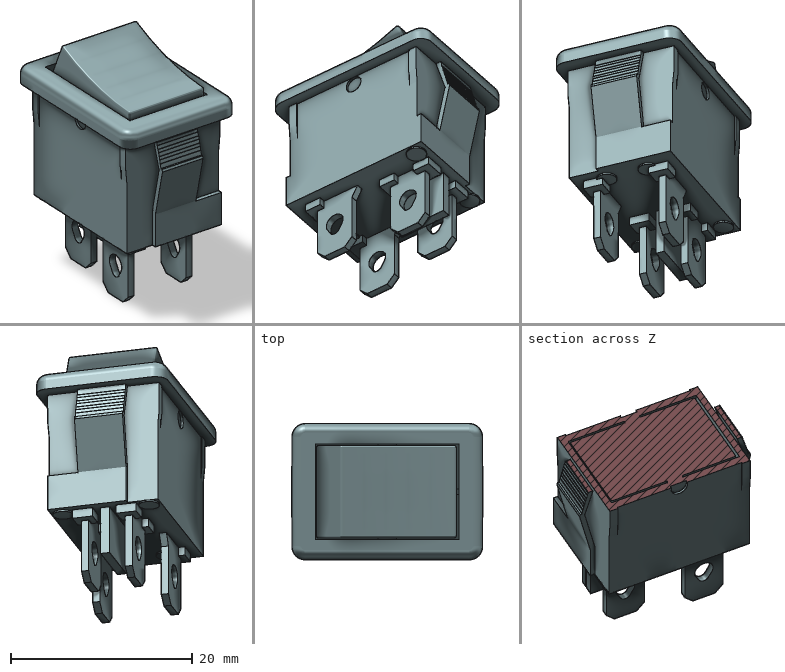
import cadquery as cq
import math


bezel_length = 21.08
bezel_width = 15.1
bezel_height = 2.08
bezel_corner_radius = 1.5
bezel_edge_radius = 1.05

body_length = 17.42
body_width = 12.57
body_depth = 13.9
body_half_length = body_length / 2
body_half_width = body_width / 2

pad_length = 1.03
pad_thickness = 0.17
pad_full_depth = 3.15
pad_total_depth = 4.97

well_length = 15.8
well_width = 10.57
well_depth = 2.5

rocker_width = 10.24
rocker_edge_radius = 0.25
rocker_bottom_z = -2.22
rocker_apex = (-5.1, 5.9)
rocker_left_middle = (-6.38, 3.05)
rocker_left_foot = (-7.82, -0.28)
rocker_right_x = 7.63
rocker_right_top_z = 2.9
rocker_top_middle = (1.28, 3.7)

pivot_diameter = 2.0
pivot_z = -pivot_diameter / 2
pivot_recess = 0.28

stop_width = 0.65
stop_height = 1.0

clip_width = 5.55
clip_root_x = 9.38
clip_knee_x = 10.45
clip_tip_x = 10.6
clip_tip_z = -4.0
clip_lip_x = 10.5
clip_lip_height = 0.3
clip_inner_knee_x = 9.95
clip_inner_foot_z = -9.57
clip_foot_x = 9.27
clip_foot_z = -9.88
step_pair_count = 4
long_step_height = 0.45
short_step_height = 0.35
step_face_slope = 0.12
first_step_z = -0.28

blade_thickness = 0.83
blade_width = 4.75
blade_bottom_z = -21.91
blade_chamfer = 1.0
left_blade_x = -5.0
right_blade_x = 4.0
left_blade_y = 2.52
right_blade_y = 3.97
flare_width = 0.78
flare_bottom_z = -15.23
blade_hole_radius = 1.15
blade_hole_tip_radius = 0.67
blade_hole_z = -17.75
blade_hole_bottom_z = -19.33

bar_left_x = -8.07
bar_right_x = -1.66
bar_thickness = 1.03
bar_bottom_z = -19.35

block_width = 2.33
block_height = 1.0
foot_radius = 1.15
foot_height = 0.2
foot_centers = [(-7.65, 4.97), (6.95, left_blade_y)]
support_blocks = [
    (-8.38, -6.27, left_blade_y),
    (-3.65, bar_right_x, left_blade_y),
    (5.45, 7.45, right_blade_y),
]


def box(x_min, x_max, y_min, y_max, z_min, z_max):
    """Box between two limits on each axis."""
    return (
        cq.Workplane("XY")
        .box(x_max - x_min, y_max - y_min, z_max - z_min, centered=False)
        .translate((x_min, y_min, z_min))
    )


def extrude_along_y(sketch, y_min, y_max):
    """Extrude a closed XZ outline, drawn on the XZ plane, from y_min to y_max."""
    return sketch.extrude(y_min - y_max).translate((0, y_min, 0))


def on_both_sides(solid):
    """The solid together with its mirror image across the XZ plane."""
    return solid.union(solid.mirror("XZ"))


def on_both_ends(solid):
    """The solid together with its mirror image across the YZ plane."""
    return solid.union(solid.mirror("YZ"))


def make_bezel():
    return (
        cq.Workplane("XY")
        .rect(bezel_length, bezel_width)
        .extrude(bezel_height)
        .edges("|Z")
        .fillet(bezel_corner_radius)
        .faces(">Z")
        .edges()
        .fillet(bezel_edge_radius)
    )


def make_body():
    body = cq.Workplane("XY").rect(body_length, body_width).extrude(-body_depth)
    pad = (
        cq.Workplane("YZ", origin=(-body_half_length, 0, 0))
        .moveTo(-body_half_width, 0)
        .lineTo(-body_half_width - pad_thickness, 0)
        .lineTo(-body_half_width - pad_thickness, -pad_full_depth)
        .lineTo(-body_half_width, -pad_total_depth)
        .close()
        .extrude(pad_length)
    )
    return body.union(on_both_ends(on_both_sides(pad)))


def cut_well_and_pivot_holes(housing):
    well = box(
        -well_length / 2, well_length / 2,
        -well_width / 2, well_width / 2,
        -well_depth, bezel_height,
    )
    pivot_hole = (
        cq.Workplane("XZ")
        .center(0, pivot_z)
        .circle(pivot_diameter / 2)
        .extrude(body_half_width, both=True)
    )
    return housing.cut(well).cut(pivot_hole)


def make_rocker():
    outline = (
        cq.Workplane("XZ")
        .moveTo(rocker_left_foot[0], rocker_bottom_z)
        .lineTo(*rocker_left_foot)
        .threePointArc(rocker_left_middle, rocker_apex)
        .threePointArc(rocker_top_middle, (rocker_right_x, rocker_right_top_z))
        .lineTo(rocker_right_x, rocker_bottom_z)
        .close()
    )
    rocker = extrude_along_y(outline, -rocker_width / 2, rocker_width / 2)
    rocker = rocker.edges("not(<Z)").fillet(rocker_edge_radius)
    pivot_pin = (
        cq.Workplane("XZ")
        .center(0, pivot_z)
        .circle(pivot_diameter / 2)
        .extrude(body_half_width - pivot_recess, both=True)
    )
    stop = box(rocker_right_x, well_length / 2, -stop_width / 2, stop_width / 2, 0, stop_height)
    return rocker.union(pivot_pin).union(stop)


def clip_step_x(z):
    """X of the sloping line that the step edges of the left clip lie on, at height z."""
    return -clip_root_x - (clip_knee_x - clip_root_x) * z / clip_tip_z


def make_left_clip():
    lip_z = clip_tip_z + clip_lip_height
    step_edges_z = [first_step_z]
    for _ in range(step_pair_count):
        step_edges_z.append(step_edges_z[-1] - long_step_height)
        step_edges_z.append(step_edges_z[-1] - short_step_height)
    step_edges_z[-1] = lip_z

    outline = (
        cq.Workplane("XZ")
        .moveTo(-body_half_length, 0)
        .lineTo(clip_step_x(0), 0)
        .lineTo(clip_step_x(first_step_z), first_step_z)
    )
    for top_z, bottom_z in zip(step_edges_z, step_edges_z[1:]):
        face_bottom_x = clip_step_x(top_z) - step_face_slope * (top_z - bottom_z)
        ledge_x = -clip_lip_x if bottom_z == lip_z else clip_step_x(bottom_z)
        outline = outline.lineTo(face_bottom_x, bottom_z).lineTo(ledge_x, bottom_z)
    outline = (
        outline
        .lineTo(-clip_tip_x, clip_tip_z)
        .lineTo(-clip_foot_x, clip_foot_z)
        .lineTo(-body_half_length, clip_foot_z)
        .lineTo(-body_half_length, clip_inner_foot_z)
        .lineTo(-clip_inner_knee_x, clip_tip_z)
        .close()
    )
    strip = extrude_along_y(outline, -clip_width / 2, clip_width / 2)
    foot = box(
        -clip_foot_x, -body_half_length,
        -clip_width / 2, body_half_width,
        -body_depth, clip_foot_z,
    )
    return strip.union(foot)


def teardrop_hole(center_x):
    """Cutter for a blade hole: a large upper arc drawn down to a small lower one."""
    tip_z = blade_hole_bottom_z + blade_hole_tip_radius
    slope = math.asin((blade_hole_radius - blade_hole_tip_radius) / (blade_hole_z - tip_z))

    def flank_point(radius, arc_center_z):
        return radius * math.cos(slope), arc_center_z - radius * math.sin(slope)

    upper_x, upper_z = flank_point(blade_hole_radius, blade_hole_z)
    lower_x, lower_z = flank_point(blade_hole_tip_radius, tip_z)
    return (
        cq.Workplane("XZ", origin=(center_x, 0, 0))
        .moveTo(-upper_x, upper_z)
        .threePointArc((0, blade_hole_z + blade_hole_radius), (upper_x, upper_z))
        .lineTo(lower_x, lower_z)
        .threePointArc((0, blade_hole_bottom_z), (-lower_x, lower_z))
        .close()
        .extrude(body_width, both=True)
    )


def make_blade_pair(center_x, center_y, flare):
    """Two blades at +-center_y; flare widens the -X edge where it meets the housing."""
    left_x = center_x - blade_width / 2
    right_x = center_x + blade_width / 2
    outline = (
        cq.Workplane("XZ")
        .moveTo(right_x, -body_depth)
        .lineTo(right_x, blade_bottom_z + blade_chamfer)
        .lineTo(right_x - blade_chamfer, blade_bottom_z)
        .lineTo(left_x + blade_chamfer, blade_bottom_z)
        .lineTo(left_x, blade_bottom_z + blade_chamfer)
        .lineTo(left_x, flare_bottom_z)
        .lineTo(left_x - flare, -body_depth)
        .close()
    )
    blade = extrude_along_y(outline, center_y - blade_thickness / 2, center_y + blade_thickness / 2)
    return on_both_sides(blade.cut(teardrop_hole(center_x)))


def make_terminals():
    bar = box(bar_left_x, bar_right_x, -bar_thickness / 2, bar_thickness / 2, bar_bottom_z, -body_depth)
    left_blades = make_blade_pair(left_blade_x, left_blade_y, 0)
    right_blades = make_blade_pair(right_blade_x, right_blade_y, flare_width)
    return bar.union(left_blades).union(right_blades)


def make_underside_supports():
    supports = cq.Workplane("XY")
    for x_min, x_max, y in support_blocks:
        block = box(
            x_min, x_max,
            y - block_width / 2, y + block_width / 2,
            -body_depth - block_height, -body_depth,
        )
        supports = supports.union(on_both_sides(block))
    for center in foot_centers:
        foot = (
            cq.Workplane("XY", origin=(0, 0, -body_depth))
            .center(*center)
            .circle(foot_radius)
            .extrude(-foot_height)
        )
        supports = supports.union(on_both_sides(foot))
    return supports


housing = cut_well_and_pivot_holes(make_bezel().union(make_body()))
result = (
    housing
    .union(make_rocker())
    .union(on_both_ends(make_left_clip()))
    .union(make_terminals())
    .union(make_underside_supports())
)